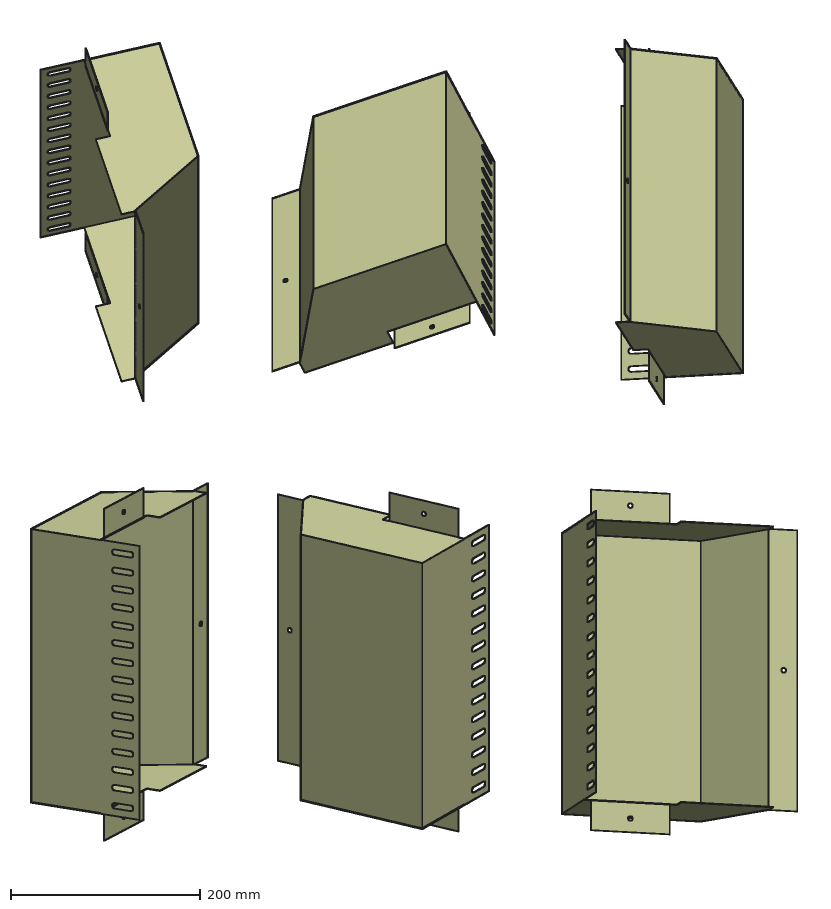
import cadquery as cq
import math


total_width = 235.36
total_depth = 131.0
total_height = 366.6
sheet = 0.8

back_width = 153.1
box_depth = 83.9
flange_width = 31.6
tab_height = 32.0

left = -total_width / 2
right = total_width / 2
front = -total_depth / 2
back = total_depth / 2
box_height = total_height - 2 * tab_height
box_top = box_height / 2
mount_front = back - box_depth
mount_back = mount_front + sheet
back_bend = left + back_width
flange_bend = right - flange_width

slope_angle = math.atan2(back - mount_back, flange_bend - back_bend)
bend_shift = sheet * math.tan(slope_angle / 2)

lip_start = left + 103.0
lip_end = flange_bend + 0.8
lip_depth = 15.8

tab_start = left + 8.5
tab_width = 86.5
hole_diameter = 5.0
hole_edge_distance = 15.0

slot_count = 15
slot_pitch = 20.0
slot_length = 25.4
slot_height = 6.2
slot_center_y = front + 20.5


def extrude_outline(points, bottom, height):
    return cq.Workplane("XY").workplane(offset=bottom).polyline(points).close().extrude(height)


def screw_hole(x, z):
    """Cutter through a sheet that lies in the mounting plane."""
    return cq.Workplane("XZ", origin=(x, mount_back, z)).circle(hole_diameter / 2).extrude(sheet)


def make_wrap():
    """Bent sheet: left wall, back wall, sloped wall and side flange."""
    outline = [
        (left, front),
        (left, back),
        (back_bend, back),
        (flange_bend, mount_back),
        (right, mount_back),
        (right, mount_front),
        (flange_bend - bend_shift, mount_front),
        (back_bend - bend_shift, back - sheet),
        (left + sheet, back - sheet),
        (left + sheet, front),
    ]
    slots = (
        cq.Workplane("YZ", origin=(left, slot_center_y, 0))
        .rarray(1, slot_pitch, 1, slot_count)
        .slot2D(slot_length, slot_height)
        .extrude(sheet)
    )
    wrap = extrude_outline(outline, -box_top, box_height)
    return wrap.cut(slots).cut(screw_hole(right - hole_edge_distance, 0))


def make_top_plate():
    """End plate that closes the box, with a lip reaching forward of the mounting plane."""
    lip_front = mount_back - lip_depth
    outline = [
        (left, back),
        (back_bend, back),
        (flange_bend, mount_back),
        (lip_end, mount_back),
        (lip_end, lip_front),
        (lip_start, lip_front),
        (lip_start, mount_back),
        (left, mount_back),
    ]
    return extrude_outline(outline, box_top - sheet, sheet)


def make_top_tab():
    """Mounting tab that covers the front edge of the end plate and stands above it."""
    tab = (
        cq.Workplane("XY", origin=(tab_start, mount_front, box_top - sheet))
        .box(tab_width, sheet, tab_height + sheet, centered=False)
    )
    return tab.cut(screw_hole(tab_start + tab_width / 2, total_height / 2 - hole_edge_distance))


top_plate = make_top_plate()
top_tab = make_top_tab()

cover = make_wrap().union(top_plate).union(top_plate.mirror("XY")).union(top_tab)

bottom_tab = top_tab.mirror("XY")

result = cq.Compound.makeCompound([cover.solids().val(), bottom_tab.solids().val()])